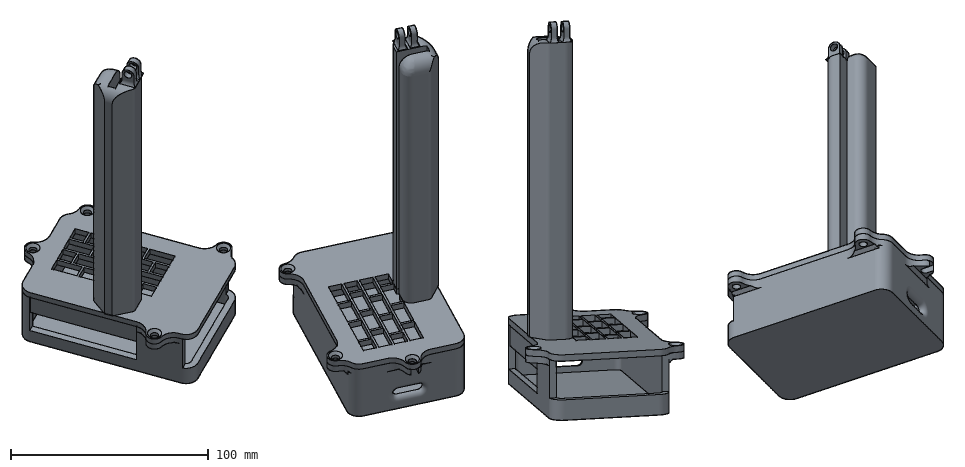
import cadquery as cq
import math

total_length = 104.3
total_width = 80.3
total_height = 197.9
housing_height = 30.7
lid_thickness = 3.4
lid_top = housing_height + lid_thickness

lug_radius = 4.4
lug_reach = 4.5
blend_radius = 7.7
lug_height = 3.5
lug_bottom = housing_height - lug_height
lug_support = 1.8
screw_diameter = 4.2
countersink_diameter = 7.1
countersink_angle = 90

left_x = -total_length / 2 + lug_reach + lug_radius
right_x = total_length / 2
half_width = total_width / 2 - lug_reach - lug_radius
corner_radius = 6.5
wall = 3.5
floor_thickness = 3.5

side_lug = (left_x - lug_reach, 0.0)
front_lug = (32.9, -half_width - lug_reach)
back_left_lug = (-32.5, half_width + lug_reach)
back_right_lug = (41.8, half_width + lug_reach)
lugs = [side_lug, front_lug, back_left_lug, back_right_lug]

window_left = -37.0
window_right = 21.2
window_bottom = 7.7
end_opening_x = 46.3
end_opening_z = 10.7
port_length = 16.0
port_height = 5.1
port_z = 9.3
port_rounding = 3.0

panel_bottom = 19.5
panel_recess = 0.8

brick_length = 14.8
brick_width = 7.1
brick_joint = 1.2
brick_rows = 4
bricks_left = -33.2
bricks_right = window_right
bricks_back = 21.2

mast_x = 6.1
mast_width = 22.5
mast_depth = 21.2
mast_left = mast_x - mast_width / 2
mast_right = mast_x + mast_width / 2
mast_back = -10.7
mast_front = mast_back - mast_depth
mast_top = 188.0
mast_nose_width = 4.2
mast_nose_depth = 7.3
mast_shoulder_y = mast_front + mast_nose_depth
mast_back_radius = 5.0
mast_shoulder_radius = 2.5
mast_top_rounding = 7.1

slot_left = mast_x - mast_nose_width / 2
slot_right = mast_x + mast_nose_width / 2
slot_front = -27.1

ear_x = 13.0
ear_width = 6.5
ear_thickness = 3.2
ear_gap = 3.4
ear_count = 2
first_ear_back = -12.9
ear_flare = 1.0
ear_flare_height = 2.4
pin_diameter = 4.2
pin_z = total_height - ear_width / 2

pick_margin = 0.2


def box(x_range, y_range, z_range):
    """Box between two limits along each axis."""
    sizes = [high - low for low, high in (x_range, y_range, z_range)]
    return cq.Workplane("XY").box(*sizes, centered=False).translate((x_range[0], y_range[0], z_range[0]))


def polar(center, radius, angle):
    """Point at an angle on a circle."""
    return (center[0] + radius * math.cos(angle), center[1] + radius * math.sin(angle))


def direction(start, end):
    """Angle of the line from one point to another."""
    return math.atan2(end[1] - start[1], end[0] - start[0])


def wall_blend(lug, outward, side):
    """Blend centre beside a lug on a straight wall; side is +1 or -1 around the outline."""
    beyond_lug = blend_radius - lug_reach
    along = math.sqrt((lug_radius + blend_radius) ** 2 - beyond_lug**2)
    return polar(polar(lug, beyond_lug, outward), along, outward + side * math.pi / 2)


def corner_blend(lug, corner, side):
    """Blend centre that touches both a lug and the arc of a corner."""
    span = math.dist(lug, corner)
    to_lug = lug_radius + blend_radius
    to_corner = corner_radius + blend_radius
    turn = math.acos((to_lug**2 + span**2 - to_corner**2) / (2 * to_lug * span))
    return polar(lug, to_lug, direction(lug, corner) - side * turn)


def lug_arcs(lug, before, after, before_angle, after_angle):
    """Blend, lug and blend arcs as (centre, radius, start angle, end angle, turn)."""
    start = direction(lug, before)
    end = direction(lug, after)
    return [
        (before, blend_radius, before_angle, start + math.pi, -1),
        (lug, lug_radius, start, end, 1),
        (after, blend_radius, end + math.pi, after_angle, -1),
    ]


def outline_arcs():
    """All arcs of the lugged outline, counterclockwise from the front lug."""
    east, north, west, south = 0.0, math.pi / 2, math.pi, -math.pi / 2
    inner_left = left_x + corner_radius
    inner_right = right_x - corner_radius
    inner_back = half_width - corner_radius
    front_right = (inner_right, -inner_back)
    back_right = (inner_right, inner_back)
    back_left = (inner_left, inner_back)
    front_left = (inner_left, -inner_back)
    right_blend = corner_blend(back_right_lug, back_right, -1)
    left_blend = corner_blend(back_left_lug, back_left, 1)
    right_contact = direction(back_right, right_blend)
    left_contact = direction(back_left, left_blend)

    arcs = lug_arcs(
        front_lug, wall_blend(front_lug, south, -1), wall_blend(front_lug, south, 1), north, north
    )
    arcs.append((front_right, corner_radius, south, east, 1))
    arcs.append((back_right, corner_radius, east, right_contact, 1))
    arcs += lug_arcs(
        back_right_lug, right_blend, wall_blend(back_right_lug, north, 1), right_contact + math.pi, south
    )
    arcs += lug_arcs(
        back_left_lug, wall_blend(back_left_lug, north, -1), left_blend, south, left_contact + math.pi
    )
    arcs.append((back_left, corner_radius, left_contact, west, 1))
    arcs += lug_arcs(side_lug, wall_blend(side_lug, west, -1), wall_blend(side_lug, west, 1), east, east)
    arcs.append((front_left, corner_radius, west, south, 1))
    return arcs


def lugged_plate(bottom, thickness):
    """Plate with the rounded outline and its four lugs."""
    same_point = 1.98e-06
    path = cq.Workplane("XY", origin=(0, 0, bottom))
    last = None
    for center, radius, start_angle, end_angle, turn in outline_arcs():
        sweep = turn * ((turn * (end_angle - start_angle)) % (2 * math.pi))
        start = polar(center, radius, start_angle)
        middle = polar(center, radius, start_angle + sweep / 2)
        end = polar(center, radius, start_angle + sweep)
        if last is None:
            path = path.moveTo(*start)
        elif math.dist(last, start) > same_point:
            path = path.lineTo(*start)
        path = path.threePointArc(middle, end)
        last = end
    return path.close().extrude(thickness)


def rounded_block(inset, bottom, top):
    """Block with rounded vertical edges, inset from the main outline."""
    block = box(
        (left_x + inset, right_x - inset),
        (-half_width + inset, half_width - inset),
        (bottom, top),
    )
    return block.edges("|Z").fillet(corner_radius - inset)


def lug_supports():
    """Sloping undersides where the side and back lugs meet the walls."""
    profile = [(0, 0), (lug_support, 0), (0, -lug_support)]
    back = (
        cq.Workplane("YZ", origin=(left_x, half_width, lug_bottom))
        .polyline(profile)
        .close()
        .extrude(right_x - left_x)
    )
    side = (
        cq.Workplane("XZ", origin=(left_x, half_width, lug_bottom))
        .polyline([(-out, up) for out, up in profile])
        .close()
        .extrude(2 * half_width)
    )
    return back.union(side).intersect(lugged_plate(lug_bottom - lug_support, lug_support))


def cut_port(body):
    """Cut an oval cable port through the left wall and round its outer rim."""
    port = cq.Workplane("YZ", origin=(left_x, 0, port_z)).slot2D(port_length, port_height).extrude(wall)
    rim = cq.selectors.BoxSelector(
        (left_x - pick_margin, -port_length, port_z - port_height),
        (left_x + pick_margin, port_length, port_z + port_height),
    )
    return body.cut(port).edges(rim).fillet(port_rounding)


def make_housing():
    body = rounded_block(0, 0, housing_height)
    body = body.union(lugged_plate(lug_bottom, lug_height)).union(lug_supports())
    body = body.cut(rounded_block(wall, floor_thickness, housing_height))
    body = cut_port(body)

    screw_holes = cq.Workplane("XY", origin=(0, 0, lug_bottom)).pushPoints(lugs).circle(screw_diameter / 2)
    tip_slot = box(
        (side_lug[0] - lug_radius, side_lug[0]),
        (-screw_diameter / 2, screw_diameter / 2),
        (lug_bottom, housing_height),
    )
    body = body.cut(screw_holes.extrude(lug_height)).cut(tip_slot)

    window = box(
        (window_left, window_right),
        (-half_width, -half_width + wall),
        (window_bottom, housing_height),
    )
    end_opening = box(
        (end_opening_x, right_x),
        (-total_width / 2, total_width / 2),
        (end_opening_z, housing_height),
    )
    return body.cut(window).cut(end_opening)


def brick_row(number):
    """Limits along X of the openings in one row; every other row is mirrored."""
    spans = []
    start = bricks_left
    length = brick_length / 2
    while start < bricks_right:
        spans.append((start, min(start + length, bricks_right)))
        start += length + brick_joint
        length = brick_length
    if number % 2:
        spans = [(bricks_left + bricks_right - high, bricks_left + bricks_right - low) for low, high in spans]
    return spans


def cable_slot(bottom, top):
    """Slot between two heights, open at the back of the mast."""
    return box((slot_left, slot_right), (slot_front, mast_back), (bottom, top))


def make_lid():
    lid = lugged_plate(housing_height, lid_thickness)
    lid = (
        lid.faces(">Z")
        .workplane(origin=(0, 0, lid_top))
        .pushPoints(lugs)
        .cskHole(screw_diameter, countersink_diameter, countersink_angle)
    )
    for number in range(brick_rows):
        back = bricks_back - number * (brick_width + brick_joint)
        for span in brick_row(number):
            lid = lid.cut(box(span, (back - brick_width, back), (housing_height, lid_top)))
    return lid.cut(cable_slot(housing_height, lid_top))


def make_panel():
    return box(
        (window_left, window_right),
        (-half_width + panel_recess, -half_width + wall),
        (panel_bottom, housing_height),
    )


def mast_prism():
    """Mast cross-section with a tapered nose, carried up to the top."""
    prism = (
        cq.Workplane("XY", origin=(0, 0, lid_top))
        .moveTo(mast_left, mast_back)
        .lineTo(mast_left, mast_shoulder_y)
        .lineTo(slot_left, mast_front)
        .lineTo(slot_right, mast_front)
        .lineTo(mast_right, mast_shoulder_y)
        .lineTo(mast_right, mast_back)
        .close()
        .extrude(mast_top - lid_top)
    )
    shoulders = cq.selectors.BoxSelector(
        (mast_left - pick_margin, mast_shoulder_y - pick_margin, lid_top),
        (mast_right + pick_margin, mast_shoulder_y + pick_margin, mast_top),
    )
    prism = prism.edges("|Z and >Y").fillet(mast_back_radius)
    return prism.edges("|Z").edges(shoulders).fillet(mast_shoulder_radius)


def mast_envelope():
    """Block with a rounded top: all outer edges left of the slot, only the front edge right of it."""
    depth = (mast_front, mast_back)
    height = (lid_top, mast_top)
    left_part = box((mast_left, slot_right), depth, height)
    left_part = left_part.edges("|Z and <X and >Y").fillet(mast_back_radius)
    left_part = left_part.faces(">Z").edges("not >X").fillet(mast_top_rounding)
    right_part = box((slot_right, mast_right), depth, height)
    right_part = right_part.faces(">Z").edges("<Y").fillet(mast_top_rounding)
    return left_part.union(right_part)


def flared_profile(plane, center, width):
    """Ear profile on a vertical plane through the mast top, widening along arcs into its foot."""
    half = width / 2
    foot = half + ear_flare
    arc_radius = (ear_flare**2 + ear_flare_height**2) / (2 * ear_flare)
    height = pin_z - mast_top
    return (
        plane.moveTo(center - foot, 0)
        .radiusArc((center - half, ear_flare_height), -arc_radius)
        .lineTo(center - half, height)
        .lineTo(center + half, height)
        .lineTo(center + half, ear_flare_height)
        .radiusArc((center + foot, 0), -arc_radius)
        .close()
    )


def clevis_ear(back):
    """Round-topped ear with a pin hole and a flared foot."""
    center_y = back - ear_thickness / 2
    reach = ear_width + ear_flare
    across = flared_profile(cq.Workplane("XZ", origin=(0, center_y, mast_top)), ear_x, ear_width)
    along = flared_profile(cq.Workplane("YZ", origin=(ear_x, 0, mast_top)), center_y, ear_thickness)
    ear = across.extrude(reach, both=True).intersect(along.extrude(reach, both=True))
    pin_plane = cq.Workplane("XZ", origin=(ear_x, back, pin_z))
    dome = pin_plane.circle(ear_width / 2).extrude(ear_thickness)
    pin_hole = pin_plane.circle(pin_diameter / 2).extrude(ear_thickness)
    return ear.union(dome).cut(pin_hole)


def make_mast():
    mast = mast_prism().intersect(mast_envelope()).cut(cable_slot(lid_top, mast_top))
    for number in range(ear_count):
        mast = mast.union(clevis_ear(first_ear_back - number * (ear_thickness + ear_gap)))
    return mast


housing = make_housing()
lid = make_lid()
panel = make_panel()
mast = make_mast()

result = cq.Compound.makeCompound(
    [housing.solids().val(), lid.solids().val(), panel.solids().val(), mast.solids().val()]
)